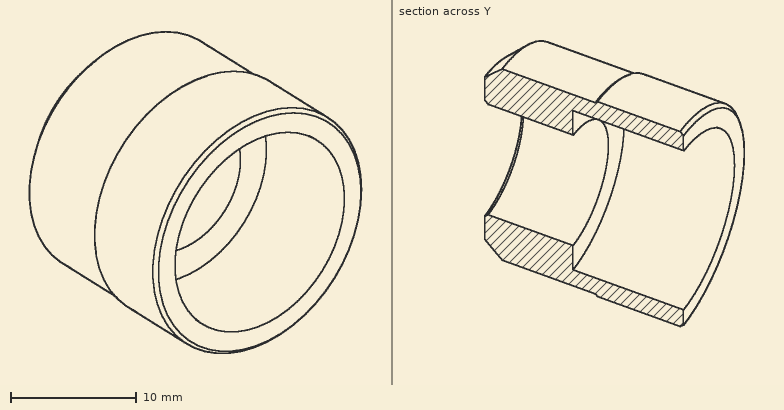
import cadquery as cq

length = 18.0
collar_diameter = 21.3
body_diameter = 20.9
bore_diameter = 12.0
bore_length = 8.0
socket_diameter = 17.3
collar_length = 7.99

nose_chamfer = 1.6
step_chamfer = (collar_diameter - body_diameter) / 2
end_chamfer = 0.32
bore_chamfer = 0.32

collar_radius = collar_diameter / 2
body_radius = body_diameter / 2
bore_radius = bore_diameter / 2
socket_radius = socket_diameter / 2
step_x = length - collar_length

half_section = [
    (0, bore_radius + bore_chamfer),
    (0, body_radius - nose_chamfer),
    (nose_chamfer, body_radius),
    (step_x, body_radius),
    (step_x + step_chamfer, collar_radius),
    (length - end_chamfer, collar_radius),
    (length, collar_radius - end_chamfer),
    (length, socket_radius),
    (bore_length, socket_radius),
    (bore_length, bore_radius),
    (bore_chamfer, bore_radius),
]

result = (
    cq.Workplane("XY")
    .polyline(half_section)
    .close()
    .revolve(360, (0, 0, 0), (1, 0, 0))
)